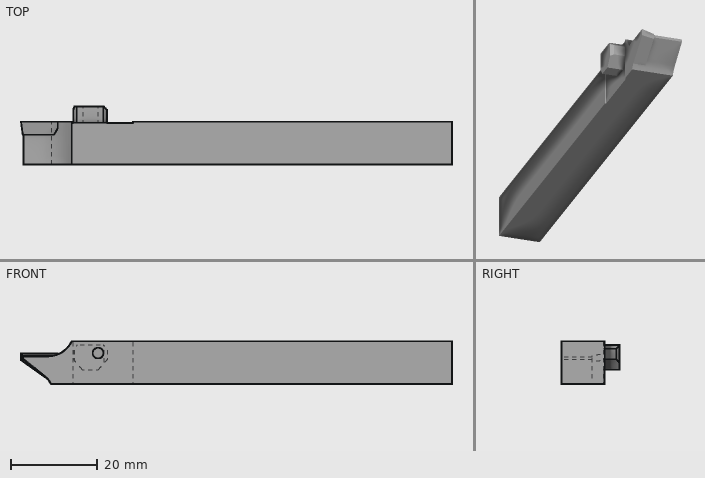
import cadquery as cq

length = 100.0
side = 10.0

nose_x = 0.6
nose_top = 6.4
nose_edge = 5.8
seat_end = 6.1
relief_top_x = 11.8
lower_bend = (5.0, 2.3)
lower_mid = (6.2, 1.2)
heel_x = 7.0

blade_width = 3.0
blade_end = 8.6
blade_foot = (6.6, 0.9)
tip_top = 7.2
tip_bottom = 5.6
blade_inner_top = 6.6
tip_skew = 0.4

recess_start = 12.0
recess_end = 26.0
recess_depth = 0.3
clamp_start = 12.1
clamp_end = 20.0
clamp_top = 9.1
clamp_shoulder = 8.2
clamp_lower_edge = 5.8
clamp_bottom = 3.3
clamp_bevel = 0.9
clamp_taper = 2.2
clamp_back = 13.5
clamp_corner_depth = 0.8
clamp_front_corner = 0.3
clamp_rear_corner = 0.8

screw_x = 17.9
screw_z = 7.2
screw_diameter = 2.5
screw_recess = 0.1


def extrude_along_y(profile, y_start, y_end):
    """Extrude a closed XZ profile from y_start to y_end."""
    return profile.extrude(-(y_end - y_start)).translate((0, y_start, 0))


def make_shank():
    profile = (
        cq.Workplane("XZ")
        .moveTo(nose_x, nose_edge)
        .lineTo(nose_x, nose_top)
        .lineTo(seat_end, nose_top)
        .tangentArcPoint((relief_top_x, side), relative=False)
        .lineTo(length, side)
        .lineTo(length, 0)
        .lineTo(heel_x, 0)
        .threePointArc(lower_mid, lower_bend)
        .close()
    )
    return extrude_along_y(profile, 0, side)


def make_blade():
    profile = (
        cq.Workplane("XZ")
        .moveTo(0, tip_bottom)
        .lineTo(0, tip_top)
        .lineTo(blade_end, tip_top)
        .lineTo(blade_end, blade_foot[1])
        .lineTo(*blade_foot)
        .close()
    )
    inner_y = side - blade_width
    blade = extrude_along_y(profile, inner_y, side)
    top_slope = (
        cq.Workplane("YZ")
        .polyline([(inner_y, blade_inner_top), (side, tip_top), (inner_y, tip_top)])
        .close()
        .extrude(blade_end)
    )
    front_skew = (
        cq.Workplane("XY")
        .polyline([(0, side), (tip_skew, inner_y), (0, inner_y)])
        .close()
        .extrude(side)
    )
    return blade.cut(top_slope).cut(front_skew)


def make_rear_recess():
    return cq.Workplane("XY").box(
        recess_end - recess_start, recess_depth, side, centered=False
    ).translate((recess_start, side - recess_depth, 0))


def make_clamp():
    profile = (
        cq.Workplane("XZ")
        .polyline([
            (clamp_start, clamp_lower_edge),
            (clamp_start, clamp_shoulder),
            (clamp_start + clamp_bevel, clamp_top),
            (clamp_end - clamp_bevel, clamp_top),
            (clamp_end, clamp_shoulder),
            (clamp_end, clamp_lower_edge),
            (clamp_end - clamp_taper, clamp_bottom),
            (clamp_start + clamp_taper, clamp_bottom),
        ])
        .close()
    )
    clamp = extrude_along_y(profile, side - recess_depth, clamp_back)
    corner_y = clamp_back - clamp_corner_depth
    for end_x, inner_x in (
        (clamp_start, clamp_start + clamp_front_corner),
        (clamp_end, clamp_end - clamp_rear_corner),
    ):
        corner = (
            cq.Workplane("XY")
            .polyline([(end_x, corner_y), (inner_x, clamp_back), (end_x, clamp_back)])
            .close()
            .extrude(side)
        )
        clamp = clamp.cut(corner)
    return clamp


def make_screw_recess():
    profile = cq.Workplane("XZ").center(screw_x, screw_z).circle(screw_diameter / 2)
    return extrude_along_y(profile, 0, screw_recess)


result = (
    make_shank()
    .cut(make_rear_recess())
    .union(make_blade())
    .union(make_clamp())
    .cut(make_screw_recess())
)